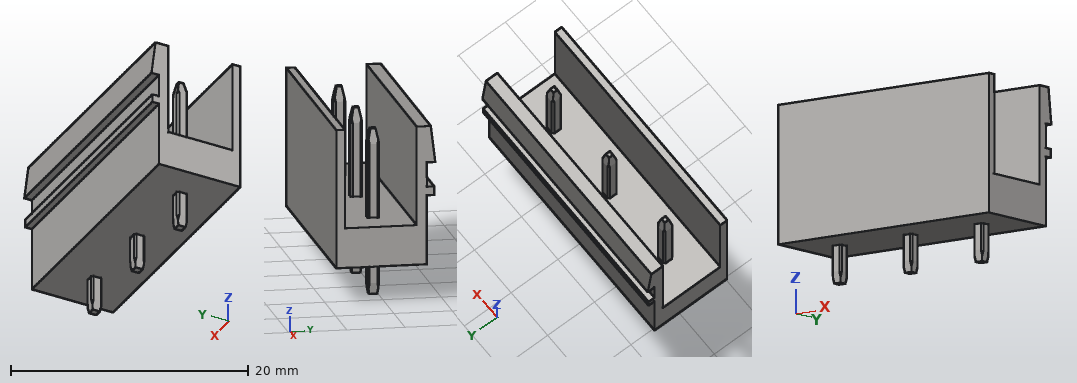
import cadquery as cq

length = 22.65
height = 11.99
body_depth = 7.77
front_wall = 0.75
rear_wall = 0.88
floor_thickness = 3.45

hook_tip_reach = 0.73
hook_top_reach = 0.35
hook_height = 3.15

rib_reach = 0.63
rib_bottom = 5.98
rib_height = 0.75

pin_count = 3
pin_pitch = 7.61
first_pin_x = 3.6
pin_y = 3.83
pin_width = 1.0
pin_edge_chamfer = 0.15
pin_top = 11.1
pin_bottom = -3.22
top_taper_length = 1.3
top_tip_width = 0.43
bottom_taper_length = 0.95
bottom_tip_width = 0.68

pin_centers = [(first_pin_x + i * pin_pitch, pin_y) for i in range(pin_count)]


def lengthwise_bar(points):
    """Extrude an outline of (Y, Z) points along the full length of the housing."""
    return cq.Workplane("YZ").polyline(points).close().extrude(length)


def make_channel():
    """Floor with a front and a rear wall, open at the top and at both ends."""
    block = cq.Workplane("XY").box(length, body_depth, height, centered=False)
    slot_depth = body_depth - front_wall - rear_wall
    slot = (
        cq.Workplane("XY", origin=(0, front_wall, floor_thickness))
        .box(length, slot_depth, height - floor_thickness, centered=False)
    )
    return block.cut(slot)


def make_hook():
    """Latch hook with a flat underside and a back that slopes in towards the top."""
    hook_bottom = height - hook_height
    return lengthwise_bar([
        (body_depth, hook_bottom),
        (body_depth + hook_tip_reach, hook_bottom),
        (body_depth + hook_top_reach, height),
        (body_depth, height),
    ])


def make_rib():
    """Rectangular rib along the rear wall."""
    return (
        cq.Workplane("XY", origin=(0, body_depth, rib_bottom))
        .box(length, rib_reach, rib_height, centered=False)
    )


def make_pin_shaft():
    """Square bar with chamfered long edges, from the lower to the upper pin end."""
    return (
        cq.Workplane("XY", origin=(0, 0, pin_bottom))
        .rect(pin_width, pin_width)
        .extrude(pin_top - pin_bottom)
        .edges("|Z")
        .chamfer(pin_edge_chamfer)
    )


def make_taper(shoulder_z, tip_z, tip_width):
    """Square pyramid frustum from the full pin width down to the tip width."""
    return (
        cq.Workplane("XY", origin=(0, 0, shoulder_z))
        .rect(pin_width, pin_width)
        .workplane(offset=tip_z - shoulder_z)
        .rect(tip_width, tip_width)
        .loft(ruled=True)
    )


def make_pin():
    """Pin on the Z axis: a chamfered shaft trimmed to a tapered envelope at both ends."""
    top_shoulder = pin_top - top_taper_length
    bottom_shoulder = pin_bottom + bottom_taper_length
    envelope = (
        cq.Workplane("XY", origin=(0, 0, bottom_shoulder))
        .rect(pin_width, pin_width)
        .extrude(top_shoulder - bottom_shoulder)
        .union(make_taper(top_shoulder, pin_top, top_tip_width))
        .union(make_taper(bottom_shoulder, pin_bottom, bottom_tip_width))
    )
    return make_pin_shaft().intersect(envelope)


pin = make_pin().solids()
pins = [pin.translate((x, y, 0)) for x, y in pin_centers]

housing = make_channel().union(make_hook()).union(make_rib())
for placed_pin in pins:
    housing = housing.cut(placed_pin)

result = cq.Compound.makeCompound([housing.solids().val(), *[placed_pin.val() for placed_pin in pins]])